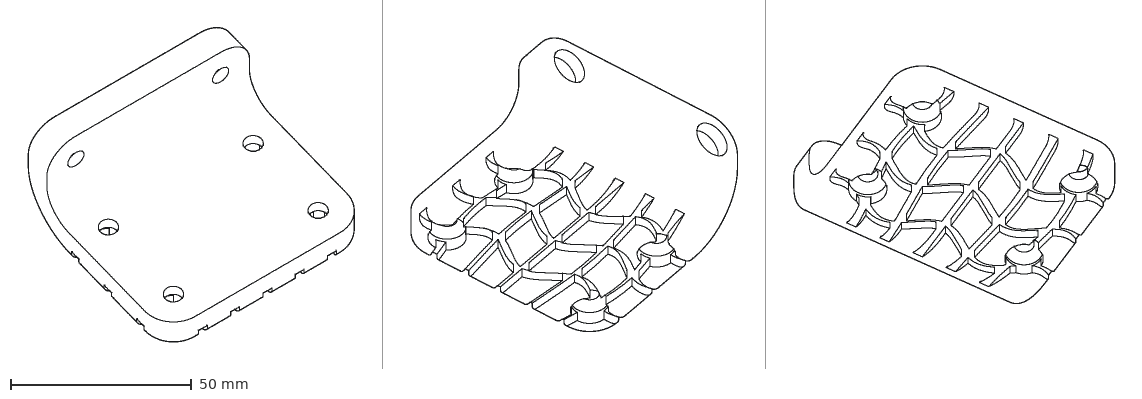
import cadquery as cq
import math

length = 65.0
width = 70.0
height = 35.0
thickness = 10.0
inner_bend_radius = 10.0
outer_bend_radius = inner_bend_radius + thickness
corner_radius = 10.0
outer_edge_fillet = 2.0

hole_diameter = 5.6
head_bore_diameter = 10.6
head_bore_depth = 4.0
countersink_angle = 90.0
hole_inset = 10.0
hole_y = width / 2 - hole_inset
flange_hole_z = height - hole_inset
plate_hole_xs = (25.0, length - hole_inset)

groove_width = 3.0
groove_depth = 3.0
groove_overrun = 5.0
cross_groove_first_x = 20.2
cross_groove_spacing = 15.0
cross_groove_count = 3
cross_wave_amplitude = 3.7
cross_wave_period = 31.5
long_groove_rows_per_side = 2
long_groove_spacing = 10.55
long_wave_amplitude = 1.3
long_wave_crest_x = 41.0
long_wave_period = 70.0
points_per_period = 12


def bent_plate():
    """Constant-thickness L profile extruded across the width."""
    inner_offset = inner_bend_radius * math.sqrt(0.5)
    outer_offset = outer_bend_radius * math.sqrt(0.5)
    bend_center = outer_bend_radius
    profile = (
        cq.Workplane("XZ")
        .moveTo(0, height)
        .lineTo(0, bend_center)
        .threePointArc((bend_center - outer_offset, bend_center - outer_offset), (bend_center, 0))
        .lineTo(length, 0)
        .lineTo(length, thickness)
        .lineTo(bend_center, thickness)
        .threePointArc((bend_center - inner_offset, bend_center - inner_offset), (thickness, bend_center))
        .lineTo(thickness, height)
        .close()
    )
    plate = profile.extrude(width / 2, both=True)
    plate = plate.edges("|Z and >X").fillet(corner_radius)
    plate = plate.edges("|X and >Z").fillet(corner_radius)
    return plate.faces("<Z").edges(">X").fillet(outer_edge_fillet)


def screw_hole(surface_point, inward):
    """Cutter for a screw hole whose countersunk head sits at the bottom of a cylindrical bore."""
    hole_radius = hole_diameter / 2
    head_radius = head_bore_diameter / 2
    sink_depth = (head_radius - hole_radius) / math.tan(math.radians(countersink_angle / 2))
    start = cq.Vector(*surface_point)
    direction = cq.Vector(*inward)
    shank = cq.Solid.makeCylinder(hole_radius, thickness, start, direction)
    bore = cq.Solid.makeCylinder(head_radius, head_bore_depth, start, direction)
    sink_start = start + direction * head_bore_depth
    sink = cq.Solid.makeCone(head_radius, hole_radius, sink_depth, sink_start, direction)
    return cq.Workplane(shank.fuse(bore, sink))


def screw_holes():
    """Holes through the flange and the base plate, with their heads on the outer faces."""
    holes = cq.Workplane("XY")
    for y in (-hole_y, hole_y):
        holes = holes.union(screw_hole((0, y, flange_hole_z), (1, 0, 0)))
        for x in plate_hole_xs:
            holes = holes.union(screw_hole((x, y, 0), (0, 0, 1)))
    return holes


def wave_groove(start, end, middle, amplitude, period, crest):
    """Groove running along X from start to end, waving in Y about middle with a crest at X = crest."""
    steps = math.ceil((end - start) / period * points_per_period)
    left_side = []
    right_side = []
    for i in range(steps + 1):
        run = start + (end - start) * i / steps
        phase = 2 * math.pi * (run - crest) / period
        offset = middle + amplitude * math.cos(phase)
        slope = -amplitude * 2 * math.pi / period * math.sin(phase)
        normal_scale = groove_width / 2 / math.hypot(1, slope)
        left_side.append((run - slope * normal_scale, offset + normal_scale))
        right_side.append((run + slope * normal_scale, offset - normal_scale))
    right_side.reverse()
    return (
        cq.Workplane("XY")
        .moveTo(*left_side[0])
        .spline(left_side[1:], includeCurrent=True)
        .lineTo(*right_side[0])
        .spline(right_side[1:], includeCurrent=True)
        .close()
        .extrude(groove_depth)
    )


def long_grooves():
    """One straight groove on the center line and mirrored pairs that bow further out row by row."""
    grooves = cq.Workplane("XY").box(
        length + groove_overrun, groove_width, groove_depth, centered=(False, True, False)
    )
    for row in range(1, long_groove_rows_per_side + 1):
        amplitude = row * long_wave_amplitude
        middle = row * long_groove_spacing + amplitude
        groove = wave_groove(
            0, length + groove_overrun, middle, amplitude, long_wave_period, long_wave_crest_x
        )
        grooves = grooves.union(groove).union(groove.mirror("XZ"))
    return grooves


def cross_grooves():
    """Evenly spaced grooves across the width, waving in X with a crest on the center line."""
    reach = width / 2 + groove_overrun
    grooves = cq.Workplane("XY")
    for column in range(cross_groove_count):
        middle = cross_groove_first_x + column * cross_groove_spacing
        groove = wave_groove(-reach, reach, -middle, -cross_wave_amplitude, cross_wave_period, 0)
        grooves = grooves.union(groove.rotate((0, 0, 0), (0, 0, 1), 90))
    return grooves


result = (
    bent_plate()
    .cut(screw_holes())
    .cut(long_grooves())
    .cut(cross_grooves())
)